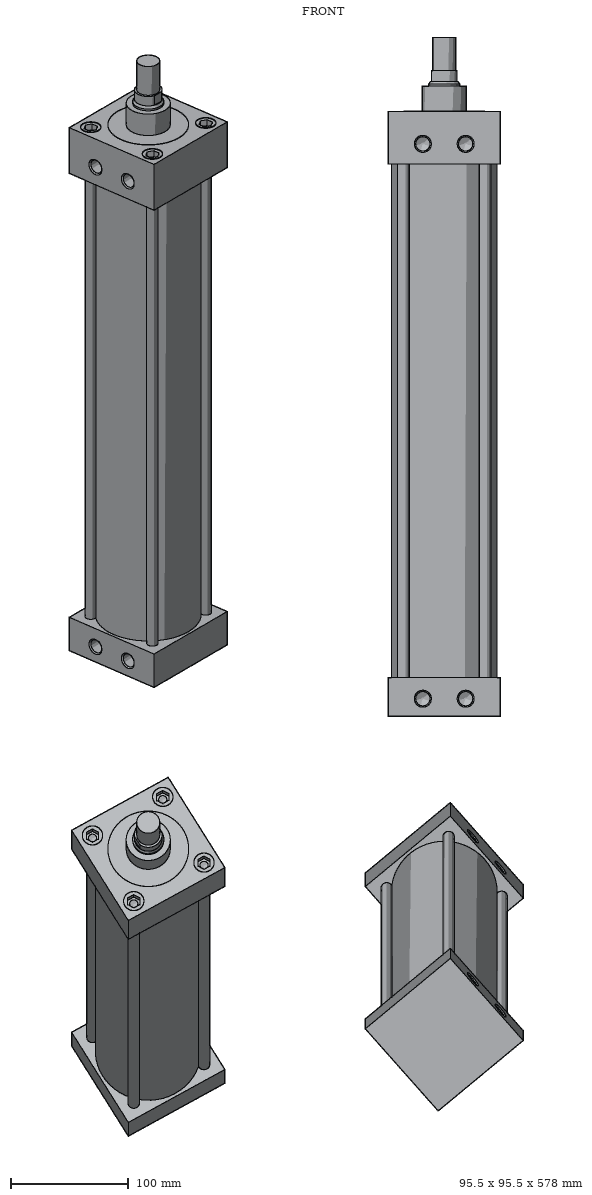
import cadquery as cq
import math

total_height = 578.0
cover_width = 95.5
cap_height = 33.0
head_bottom = 470.0
head_height = 45.0
head_top = head_bottom + head_height

tube_diameter = 90.0
tie_rod_diameter = 10.0
tie_rod_spacing = 69.5
tie_rod_offset = tie_rod_spacing / 2

pilot_diameter = 69.0
pilot_height = 0.3
neck_diameter = 37.5
neck_top = 536.0

recess_diameter = 17.5
recess_depth = 0.5
socket_width = 10.5
socket_depth = 6.0
socket_drill_diameter = 7.0

port_diameter = 12.0
port_chamfer = 1.0
port_depth = 11.5
port_spacing = 36.5
port_offset = port_spacing / 2
head_port_height = 487.0
cap_port_height = 15.0
drill_point_angle = 118.0

base_diameter = 26.5
base_top = neck_top + 2.0
collar_diameter = 23.5
collar_bottom = 540.5
collar_top = 549.5
wrench_width = 22.0
tip_diameter = 19.5


def disc(diameter, bottom, top):
    """Round bar on the Z axis between two heights."""
    return cq.Workplane("XY").workplane(offset=bottom).circle(diameter / 2).extrude(top - bottom)


def square_block(bottom, height):
    """Square cover centred on the Z axis."""
    return cq.Workplane("XY").workplane(offset=bottom).rect(cover_width, cover_width).extrude(height)


def corner_points():
    """Tie rod axes in the four corners."""
    sides = (-tie_rod_offset, tie_rod_offset)
    return [(x, y) for x in sides for y in sides]


def drill_hole(diameter, depth):
    """Shape of a blind hole along +Z from the origin, ending in a drill point."""
    radius = diameter / 2
    point_length = radius / math.tan(math.radians(drill_point_angle / 2))
    profile = [(0, 0), (radius, 0), (radius, depth), (0, depth + point_length)]
    return cq.Workplane("XZ").polyline(profile).close().revolve(360, (0, 0), (0, 1))


def port_hole():
    """Shape of a blind port with a chamfered mouth, along +Y from the origin."""
    radius = port_diameter / 2
    mouth = cq.Workplane(cq.Solid.makeCone(radius + port_chamfer, radius, port_chamfer))
    hole = drill_hole(port_diameter, port_depth).union(mouth)
    return hole.rotate((0, 0, 0), (1, 0, 0), -90)


def cut_ports(cover, height):
    """Sink a pair of ports into the -Y face of a cover."""
    hole = port_hole()
    for x in (-port_offset, port_offset):
        cover = cover.cut(hole.translate((x, -cover_width / 2, height)))
    return cover


def socket_recess():
    """Shape of a shallow round recess with a hexagonal socket, along -Z from the origin."""
    corner_diameter = socket_width / math.cos(math.pi / 6)
    recess = disc(recess_diameter, -recess_depth, 0)
    hexagon = cq.Workplane("XY").polygon(6, corner_diameter).extrude(-recess_depth - socket_depth)
    drill = drill_hole(socket_drill_diameter, recess_depth + socket_depth)
    return recess.union(hexagon).union(drill.rotate((0, 0, 0), (1, 0, 0), 180))


def make_cap():
    return cut_ports(square_block(0, cap_height), cap_port_height)


def make_barrel():
    """Round tube with four tie rods that merge into its outer surface."""
    barrel = disc(tube_diameter, cap_height, head_bottom)
    tie_rod = disc(tie_rod_diameter, cap_height, head_bottom)
    for x, y in corner_points():
        barrel = barrel.union(tie_rod.translate((x, y, 0)))
    return barrel


def make_head():
    head = cut_ports(square_block(head_bottom, head_height), head_port_height)
    head = head.union(disc(pilot_diameter, head_top, head_top + pilot_height))
    head = head.union(disc(neck_diameter, head_top, neck_top))
    recess = socket_recess()
    for x, y in corner_points():
        head = head.cut(recess.translate((x, y, head_top)))
    return head


def make_rod():
    """Stepped rod standing on the neck, with two wrench flats facing -X and +X."""
    base_radius = base_diameter / 2
    collar_radius = collar_diameter / 2
    tip_radius = tip_diameter / 2
    profile = [
        (0, neck_top),
        (base_radius, neck_top),
        (base_radius, base_top),
        (collar_radius, collar_bottom),
        (collar_radius, collar_top),
        (tip_radius, collar_top),
        (tip_radius, total_height),
        (0, total_height),
    ]
    rod = cq.Workplane("XZ").polyline(profile).close().revolve(360, (0, 0), (0, 1))

    wrench_gap = cq.Workplane("XY").box(wrench_width, collar_diameter, 2 * total_height)
    outer_slivers = disc(collar_diameter, collar_bottom, collar_top).cut(wrench_gap)
    return rod.cut(outer_slivers)


cap = make_cap()
barrel = make_barrel()
head = make_head()
rod = make_rod()

result = cq.Compound.makeCompound([cap.val(), barrel.val(), head.val(), rod.val()])